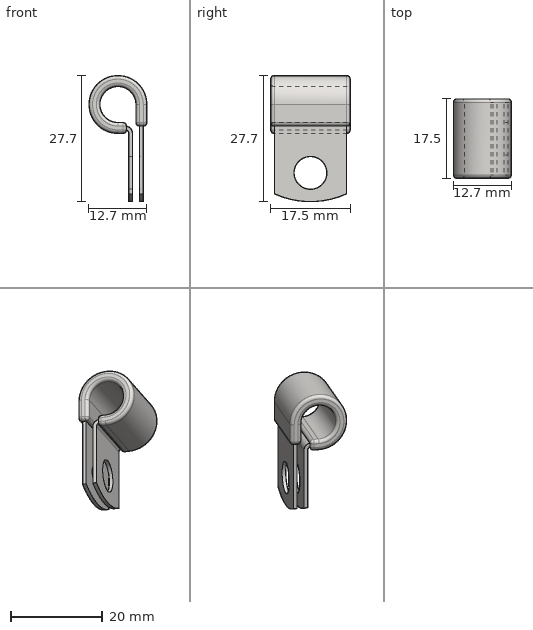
import cadquery as cq
import math


strap_thickness = 0.85
strap_width = 15.88
cushion_wall = 0.79
bore_radius = 3.935
straight_leg_cover = 3.97
bent_leg_cover = 1.09
leg_gap = 1.52
bend_inner_radius = 0.75
hole_diameter = 7.144
hole_z = -15.0
tip_z = -21.337
tip_radius = 19.05

strap_inner_radius = bore_radius + cushion_wall
strap_outer_radius = strap_inner_radius + strap_thickness
loop_outer_radius = strap_outer_radius + cushion_wall
cushion_width = strap_width + 2 * cushion_wall
straight_cushion_end = straight_leg_cover + cushion_wall
bent_cushion_end = bent_leg_cover + cushion_wall
bend_outer_radius = bend_inner_radius + strap_thickness
bent_leg_outer_x = strap_inner_radius - leg_gap
bent_leg_inner_x = bent_leg_outer_x - strap_thickness
bend_center_x = bent_leg_outer_x - bend_outer_radius
bend_center_z = -strap_inner_radius - bend_outer_radius
diagonal = math.sqrt(0.5)


def loop_profile(inner_radius, outer_radius, straight_length, bent_length):
    """Three-quarter ring with one end run on downward and the other toward +X."""
    return (
        cq.Workplane("XZ")
        .moveTo(inner_radius, -straight_length)
        .lineTo(inner_radius, 0)
        .threePointArc((-inner_radius * diagonal, inner_radius * diagonal), (0, -inner_radius))
        .lineTo(bent_length, -inner_radius)
        .lineTo(bent_length, -outer_radius)
        .lineTo(0, -outer_radius)
        .threePointArc((-outer_radius * diagonal, outer_radius * diagonal), (outer_radius, 0))
        .lineTo(outer_radius, -straight_length)
        .close()
    )


def is_end_cap_edge(edge):
    """True for the cross edges at the two free ends of the jacket."""
    tolerance = 0.01
    center = edge.Center()
    on_straight_end = abs(center.z + straight_cushion_end) < tolerance and center.x > bore_radius - tolerance
    on_bent_end = abs(center.x - bent_cushion_end) < tolerance
    return on_straight_end or on_bent_end


def make_cushion():
    """Rubber jacket, rounded on its side rims and on both end caps."""
    body = loop_profile(bore_radius, loop_outer_radius, straight_cushion_end, bent_cushion_end)
    body = body.extrude(cushion_width / 2, both=True)
    rims = body.faces("<Y or >Y").edges()
    end_caps = body.edges("|Y").filter(is_end_cap_edge)
    return body.newObject(rims.vals() + end_caps.vals()).fillet(cushion_wall)


def make_bent_leg():
    """Strap end that leaves the loop toward +X and bends down."""
    return (
        cq.Workplane("XZ")
        .moveTo(0, -strap_inner_radius)
        .lineTo(bend_center_x, -strap_inner_radius)
        .threePointArc(
            (bend_center_x + bend_outer_radius * diagonal, bend_center_z + bend_outer_radius * diagonal),
            (bent_leg_outer_x, bend_center_z),
        )
        .lineTo(bent_leg_outer_x, tip_z)
        .lineTo(bent_leg_inner_x, tip_z)
        .lineTo(bent_leg_inner_x, bend_center_z)
        .threePointArc(
            (bend_center_x + bend_inner_radius * diagonal, bend_center_z + bend_inner_radius * diagonal),
            (bend_center_x, -strap_outer_radius),
        )
        .lineTo(0, -strap_outer_radius)
        .close()
        .extrude(strap_width / 2, both=True)
    )


def make_straight_leg():
    """Strap end that drops straight down from the +X side of the loop."""
    return (
        cq.Workplane("XY")
        .center(strap_inner_radius + strap_thickness / 2, 0)
        .rect(strap_thickness, strap_width)
        .extrude(tip_z)
    )


def make_tip_envelope():
    """Side outline of the legs, with the rounded lower end, extruded across both legs."""
    half_width = strap_width / 2
    corner_z = tip_z + tip_radius - math.sqrt(tip_radius**2 - half_width**2)
    return (
        cq.Workplane("YZ")
        .moveTo(-half_width, 0)
        .lineTo(-half_width, corner_z)
        .threePointArc((0, tip_z), (half_width, corner_z))
        .lineTo(half_width, 0)
        .close()
        .extrude(loop_outer_radius)
    )


def make_hole():
    """Mounting hole through both legs."""
    return (
        cq.Workplane("YZ")
        .center(0, hole_z)
        .circle(hole_diameter / 2)
        .extrude(loop_outer_radius)
    )


legs = make_bent_leg().union(make_straight_leg())
legs = legs.intersect(make_tip_envelope()).cut(make_hole())
result = make_cushion().union(legs)